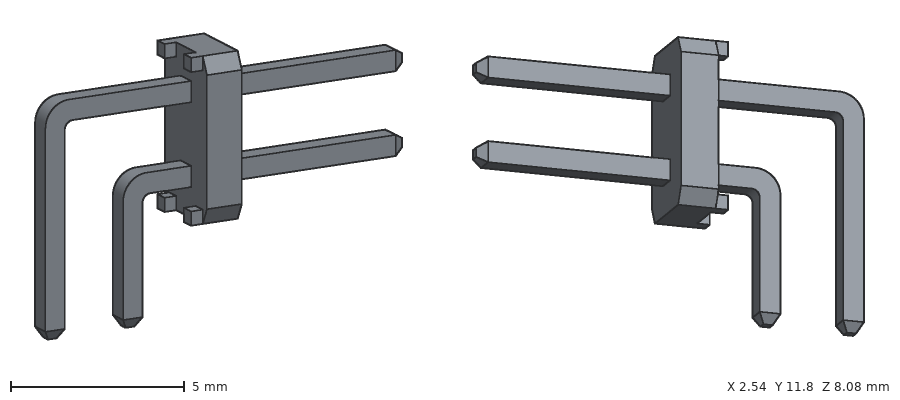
import cadquery as cq

pitch = 2.54
overall_height = 8.08
overall_depth = 11.75

housing_width = pitch
housing_height = 5.03
housing_depth = 1.143
corner_run = 0.254
corner_rise = 0.508

foot_width = 0.43
foot_height = 0.43
foot_length = 0.381

pin_size = 0.635
tip_length = 0.305
tip_size = 0.28
bend_outer_radius = 0.762
bend_inner_radius = 0.254

foot_to_leg = 1.524
front_face_y = 0.0
back_face_y = housing_depth
leg_bottom_z = housing_height / 2 - overall_height
inner_leg_y = -(foot_length + foot_to_leg)
outer_leg_y = inner_leg_y - pitch
contact_length = overall_depth - housing_depth + outer_leg_y - pin_size / 2
pin_places = [(-pitch / 2, inner_leg_y), (pitch / 2, outer_leg_y)]


def make_housing():
    """Block with four bevelled corners and a foot near each corner of its front face."""
    half_width = housing_width / 2
    half_height = housing_height / 2
    flat_half_width = half_width - corner_run
    side_half_height = half_height - corner_rise
    block = (
        cq.Workplane("XZ")
        .polyline([
            (-flat_half_width, -half_height),
            (flat_half_width, -half_height),
            (half_width, -side_half_height),
            (half_width, side_half_height),
            (flat_half_width, half_height),
            (-flat_half_width, half_height),
            (-half_width, side_half_height),
            (-half_width, -side_half_height),
        ])
        .close()
        .extrude(-housing_depth)
    )
    feet = (
        cq.Workplane("XZ")
        .rect(2 * flat_half_width - foot_width, housing_height - foot_height, forConstruction=True)
        .vertices()
        .rect(foot_width, foot_height)
        .extrude(foot_length)
    )
    return block.union(feet)


def make_tip(base_plane):
    """Tapered end growing along the plane's normal from a full pin section."""
    return (
        cq.Workplane(base_plane)
        .rect(pin_size, pin_size)
        .workplane(offset=tip_length)
        .rect(tip_size, tip_size)
        .loft(ruled=True)
    )


def make_contact(pin_z):
    """Straight pin that starts on the back face and points toward +Y."""
    shaft_length = contact_length - tip_length
    shaft = (
        cq.Workplane("XZ", origin=(0, back_face_y, pin_z))
        .rect(pin_size, pin_size)
        .extrude(-shaft_length)
    )
    tip_base = cq.Plane(
        origin=(0, back_face_y + shaft_length, pin_z), xDir=(1, 0, 0), normal=(0, 1, 0)
    )
    return shaft.union(make_tip(tip_base))


def make_bent_lead(pin_z, leg_y):
    """Pin that leaves the front face toward -Y and bends down into a leg."""
    top_z = pin_z + pin_size / 2
    under_z = pin_z - pin_size / 2
    outside_y = leg_y - pin_size / 2
    inside_y = leg_y + pin_size / 2
    shaft_end_z = leg_bottom_z + tip_length
    shaft = (
        cq.Workplane("YZ")
        .moveTo(front_face_y, top_z)
        .lineTo(outside_y + bend_outer_radius, top_z)
        .radiusArc((outside_y, top_z - bend_outer_radius), -bend_outer_radius)
        .lineTo(outside_y, shaft_end_z)
        .lineTo(inside_y, shaft_end_z)
        .lineTo(inside_y, under_z - bend_inner_radius)
        .radiusArc((inside_y + bend_inner_radius, under_z), bend_inner_radius)
        .lineTo(front_face_y, under_z)
        .close()
        .extrude(pin_size / 2, both=True)
    )
    tip_base = cq.Plane(origin=(0, leg_y, shaft_end_z), xDir=(1, 0, 0), normal=(0, 0, -1))
    return shaft.union(make_tip(tip_base))


housing = make_housing()
contacts = [make_contact(pin_z) for pin_z, leg_y in pin_places]
bent_leads = [make_bent_lead(pin_z, leg_y) for pin_z, leg_y in pin_places]

bodies = [housing, *contacts, *bent_leads]
result = cq.Compound.makeCompound([body.val() for body in bodies])